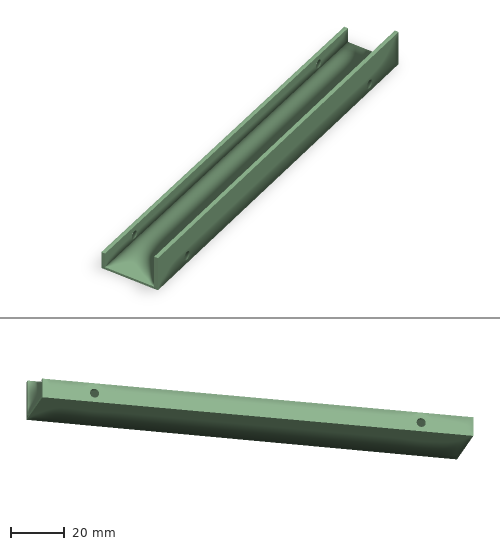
import cadquery as cq

length = 165.0
front_width = 25.0
back_width = 24.1
tall_wall_height = 15.0
low_wall_height = 7.5

wall_thickness = 1.6
floor_thickness = 1.0

hole_diameter = 3.5
hole_end_distance = 20.0
hole_height = 3.5


def tapered_prism(left, wall_inset, bottom, top):
    """Full-length prism from x = left to a slanted side set in from the outer wall face."""
    outline = [
        (left, 0),
        (front_width - wall_inset, 0),
        (back_width - wall_inset, length),
        (left, length),
    ]
    return cq.Workplane("XY").workplane(offset=bottom).polyline(outline).close().extrude(top - bottom)


envelope = tapered_prism(0, 0, 0, tall_wall_height)
trough = tapered_prism(wall_thickness, wall_thickness, floor_thickness, tall_wall_height)
channel = envelope.cut(trough)

wall_trim = cq.Workplane("XY").box(
    wall_thickness, length, tall_wall_height - low_wall_height, centered=False
).translate((0, 0, low_wall_height))
channel = channel.cut(wall_trim)

hole_positions = [(y, hole_height) for y in (hole_end_distance, length - hole_end_distance)]
holes = cq.Workplane("YZ").pushPoints(hole_positions).circle(hole_diameter / 2).extrude(front_width)

result = channel.cut(holes)